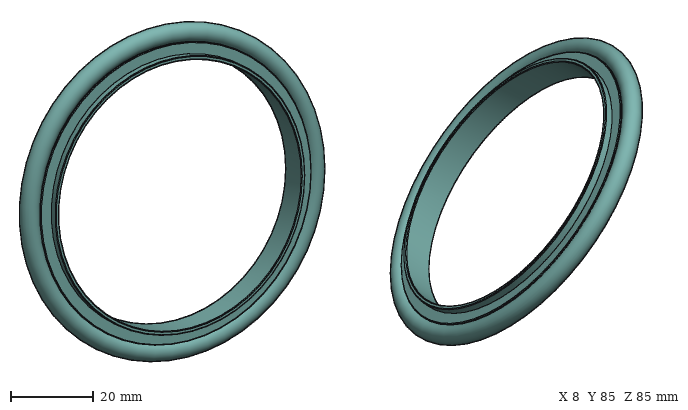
import cadquery as cq

overall_diameter = 85.0
seal_section_diameter = 5.0
sleeve_width = 8.0
bore_diameter = 68.0
sleeve_diameter = 70.0
edge_chamfer = 0.2
web_rim_diameter = 76.0
web_width = 3.9

seal_section_radius = seal_section_diameter / 2
seal_centre_radius = overall_diameter / 2 - seal_section_radius


def tube(width, outer_diameter, inner_diameter):
    """A plain ring along X, centred on the YZ plane."""
    return (
        cq.Workplane("YZ", origin=(-width / 2, 0, 0))
        .circle(outer_diameter / 2)
        .circle(inner_diameter / 2)
        .extrude(width)
    )


def make_seal():
    """An O-ring of round section."""
    return (
        cq.Workplane("XY")
        .center(0, seal_centre_radius)
        .circle(seal_section_radius)
        .revolve(360, (0, -seal_centre_radius), (1, -seal_centre_radius))
    )


def make_carrier(seal):
    """A thin sleeve with a central web, grooved around its rim to seat the seal."""
    outermost = cq.selectors.RadiusNthSelector(-1)
    sleeve = tube(sleeve_width, sleeve_diameter, bore_diameter)
    sleeve = sleeve.faces("<X or >X").edges().chamfer(edge_chamfer)
    web = tube(web_width, web_rim_diameter, sleeve_diameter)
    web = web.faces("<X or >X").edges(outermost).chamfer(edge_chamfer)
    return sleeve.union(web.cut(seal)).clean()


seal = make_seal()
carrier = make_carrier(seal)
result = cq.Compound.makeCompound([*carrier.solids().vals(), seal.val()])